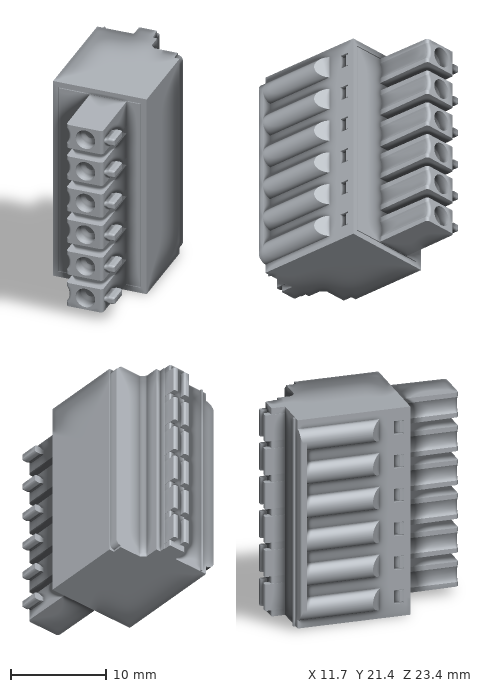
import cadquery as cq
import math


pole_count = 6
pitch = 3.81
pole_heights = [(i - (pole_count - 1) / 2) * pitch for i in range(pole_count)]

body_width = 10.55
body_depth = 12.45
body_height = 23.45
step_x = 6.78
step_depth = 10.4
step_bevel = 0.5

insert_left = 0.63
insert_right = 9.8
insert_height = 22.0
insert_gap = 0.1
insert_gap_right = 0.05
gap_depth = 0.23

rib_radius = 1.22
rib_reach = 1.15
rib_front = 3.35
rib_rear_round = 0.23
plate_depth = 0.68

slot_front = 0.75
slot_back = 1.8
slot_height = 1.52
slot_depth = 0.56
contact_height = 1.3
contact_shelf = 0.35
contact_setback = 0.07

rail_left = 4.13
rail_right = 6.17
rail_back = 13.95
rail_round = 0.16
rail_foot_width = 2.13
rail_foot_back = 13.09
tab_left = 4.08
tab_right = 6.2
tab_back = 14.68
tab_height = 2.95
fork_left = 4.8
fork_right = 5.58
prong_round = 0.2

bead_left = 0.65
bead_width = 0.19
bead_reach = 0.25

notch_width = 0.63
notch_length = 1.08
notch_drop = 0.23
bar_setback = 0.07
bar_round = 0.55

plug_left = 4.15
plug_width = 4.13
plug_length = 6.73
plug_root_height = 2.9
plug_tip_height = 2.8
plug_root_length = 0.16
plug_round = 0.35
groove_diameter = 3.07
groove_depth = 0.28
hole_offset = 2.18
hole_mouth_diameter = 2.2
hole_waist_diameter = 1.95
hole_waist_depth = 1.13
hole_floor_diameter = 1.2
hole_depth = hole_waist_depth + (hole_waist_diameter - hole_floor_diameter) / 2

pin_front = 6.38
pin_back = 4.17
pin_reach = 1.17
pin_neck_length = 0.2
pin_neck_height = 0.56
pin_slope = 0.28
pin_head_height = 0.85
pin_arc_length = 0.28
pin_front_round = 0.25


def block(x0, x1, y0, y1, height):
    """Box between two X and two Y limits, centred on Z = 0."""
    box = cq.Workplane("XY").box(x1 - x0, y1 - y0, height, centered=(False, False, True))
    return box.translate((x0, y0, 0))


def prism(points, height):
    """Upright prism on an XY outline, centred on Z = 0."""
    return cq.Workplane("XY").polyline(points).close().extrude(height / 2, both=True)


def at_poles(shape):
    """Copies of one shape, one at each pole."""
    copies = cq.Workplane("XY")
    for z in pole_heights:
        copies = copies.add(shape.translate((0, 0, z)).vals())
    return copies.combine()


def make_housing():
    """Stepped housing with the insert gap in front and the bead behind."""
    housing = prism(
        [
            (0, 0),
            (body_width, 0),
            (body_width, step_depth),
            (step_x + step_bevel, step_depth),
            (step_x, step_depth + step_bevel),
            (step_x, body_depth),
            (0, body_depth),
        ],
        body_height,
    )
    opening = block(
        insert_left - insert_gap,
        insert_right + insert_gap_right,
        0,
        gap_depth,
        insert_height + 2 * insert_gap,
    )
    gap = opening.cut(block(insert_left, insert_right, 0, gap_depth, insert_height))
    bead = block(bead_left, bead_left + bead_width, body_depth, body_depth + bead_reach, body_height)
    return housing.cut(gap).union(bead)


def make_corner_bar():
    """Bar in the notched rear edge of the right wall, with rounded ends."""
    bar = block(
        body_width - notch_width,
        body_width - bar_setback,
        step_depth - notch_length,
        step_depth,
        body_height - 2 * notch_drop,
    )
    return bar.edges("|Y and >X").fillet(bar_round)


def make_ribs():
    """Half-round ribs and their rear plate, sloped in front and rounded behind."""
    rib = (
        cq.Workplane("XZ")
        .center(rib_radius - rib_reach, 0)
        .circle(rib_radius)
        .extrude(-body_depth)
    )
    plate = block(-rib_reach, 0, body_depth - plate_depth, body_depth, pole_heights[-1] - pole_heights[0])
    side_outline = (
        prism(
            [
                (0, rib_front),
                (-rib_reach, rib_front + rib_reach),
                (-rib_reach, body_depth),
                (0, body_depth),
            ],
            body_height,
        )
        .edges("|Z and <X and >Y")
        .fillet(rib_rear_round)
    )
    return at_poles(rib).union(plate).intersect(side_outline)


def make_slots():
    """Slot voids: a pocket less the contact that fills its front part."""
    pocket = block(0, slot_depth, slot_front, slot_back, slot_height)
    shelf_end = slot_front + contact_shelf
    contact = prism(
        [
            (contact_setback, slot_front),
            (contact_setback, shelf_end),
            (slot_depth, shelf_end + slot_depth - contact_setback),
            (slot_depth, slot_front),
        ],
        contact_height,
    )
    return at_poles(pocket.cut(contact))


def make_rail():
    """Full-height rear rail with a forked tab at each pole."""
    rail = block(rail_left, rail_right, body_depth, rail_back, body_height)
    rail = rail.edges("|Z and >Y").fillet(rail_round)
    foot = block(rail_left, rail_left + rail_foot_width, body_depth, rail_foot_back, body_height)
    tab = block(tab_left, tab_right, body_depth, tab_back, tab_height)
    tab = tab.cut(block(fork_left, fork_right, rail_back, tab_back, tab_height))
    tab = tab.edges("|Z and >Y").fillet(prong_round)
    return rail.union(foot).union(at_poles(tab))


def make_hole():
    """Contact hole: a slightly tapered bore, then a cone down to a flat floor."""
    return (
        cq.Workplane("XY")
        .polyline(
            [
                (0, 0),
                (hole_mouth_diameter / 2, 0),
                (hole_waist_diameter / 2, hole_waist_depth),
                (hole_floor_diameter / 2, hole_depth),
                (0, hole_depth),
            ]
        )
        .close()
        .revolve(360, (0, 0, 0), (0, 1, 0))
        .translate((plug_left + hole_offset, -plug_length, 0))
    )


def make_plug():
    """Tapered plug with a rounded tip, a groove on its left side and a hole."""
    root_half = plug_root_height / 2
    tip_half = plug_tip_height / 2
    plug = (
        cq.Workplane("YZ")
        .polyline(
            [
                (0, -root_half),
                (-plug_root_length, -root_half),
                (-plug_length, -tip_half),
                (-plug_length, tip_half),
                (-plug_root_length, root_half),
                (0, root_half),
            ]
        )
        .close()
        .extrude(plug_width)
        .translate((plug_left, 0, 0))
    )
    groove = (
        cq.Workplane("XZ")
        .center(plug_left + groove_depth - groove_diameter / 2, 0)
        .circle(groove_diameter / 2)
        .extrude(plug_length)
    )
    plug = plug.cut(groove)
    plug = plug.faces("<Y").edges("not #Z").fillet(plug_round)
    return plug.cut(make_hole())


def make_pin():
    """Keying pin: a narrow neck widening to a rounded head."""
    root_x = plug_left + plug_width
    neck_x = root_x + pin_neck_length
    head_x = neck_x + pin_slope
    end_x = root_x + pin_reach
    neck_half = pin_neck_height / 2
    head_half = pin_head_height / 2
    mid_x = end_x - pin_arc_length / 2
    mid_half = math.sqrt(head_half**2 - (pin_arc_length / 2) ** 2)
    end_half = math.sqrt(head_half**2 - pin_arc_length**2)
    pin = (
        cq.Workplane("XZ")
        .polyline(
            [
                (root_x, -neck_half),
                (neck_x, -neck_half),
                (head_x, -head_half),
                (end_x - pin_arc_length, -head_half),
            ]
        )
        .threePointArc((mid_x, -mid_half), (end_x, -end_half))
        .lineTo(end_x, end_half)
        .threePointArc((mid_x, mid_half), (end_x - pin_arc_length, head_half))
        .polyline(
            [
                (head_x, head_half),
                (neck_x, neck_half),
                (root_x, neck_half),
            ],
            includeCurrent=True,
        )
        .close()
        .extrude(pin_front - pin_back)
        .translate((0, -pin_back, 0))
    )
    return pin.faces("<Y").edges("not <X").fillet(pin_front_round)


right_notch = block(
    body_width - notch_width, body_width, step_depth - notch_length, step_depth, body_height
)
result = make_housing().cut(right_notch).union(make_corner_bar())
result = result.union(make_ribs()).cut(make_slots())
result = result.union(make_rail())
result = result.union(at_poles(make_plug().union(make_pin())))